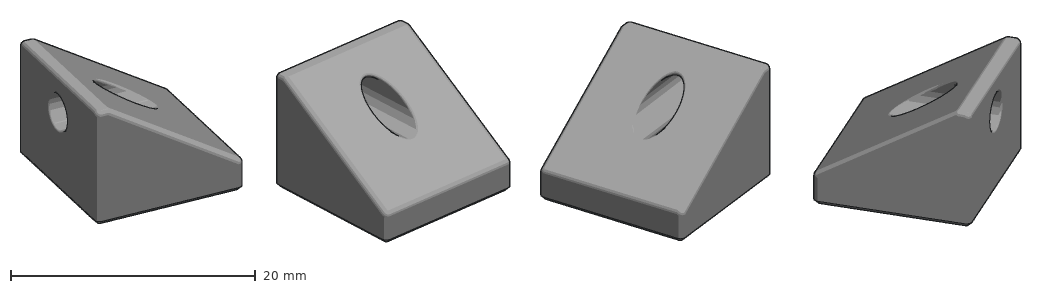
import cadquery as cq

width = 14.0
depth = 13.6
height = 10.65

top_strip = 1.22
back_height = 2.83

edge_radius = 0.5
base_chamfer = 0.4

bore_diameter = 3.3
bore_height = 7.28
mouth_radius = 0.2


def wedge():
    """Wedge with rounded outer edges and a chamfered base, front face on Y = 0."""
    profile = [
        (0, 0),
        (depth, 0),
        (depth, back_height),
        (top_strip, height),
        (0, height),
    ]
    body = cq.Workplane("YZ").polyline(profile).close().extrude(width / 2, both=True)
    body = body.edges("not <Z").fillet(edge_radius)
    return body.faces("<Z").edges().chamfer(base_chamfer)


def bore_cutter():
    """Cylinder along Y that passes right through the wedge."""
    bore = cq.Workplane("XZ").center(0, bore_height).circle(bore_diameter / 2)
    return bore.extrude(-depth)


def round_bore_mouths(body):
    """Round the bore where it opens on the front face and on the slope."""
    bore_reach = bore_diameter / 2 + mouth_radius
    mouth_zone = cq.selectors.BoxSelector(
        (-bore_reach, -mouth_radius, bore_height - bore_reach),
        (bore_reach, depth, bore_height + bore_reach),
        boundingbox=True,
    )
    mouths = body.edges(mouth_zone).edges("not |Y")
    return mouths.fillet(mouth_radius)


result = round_bore_mouths(wedge().cut(bore_cutter()))